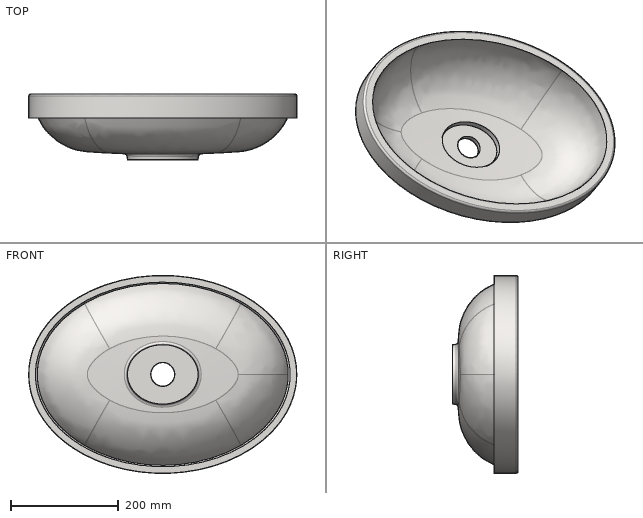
import cadquery as cq


RIM_SEMI_X = 250.0
RIM_SEMI_Z = 184.575
RIM_DEPTH = 45.0
RIM_ROUND = 4.0

GROOVE_INSET = 12.5
GROOVE_TAPER = 5.0
GROOVE_DEPTH = 4.0

BOWL_INSET = 7.0
BOWL_DEPTH = 112.9
BOWL_ROUND = 110.0
FLOOR_RADIUS = 2000.0
WALL = 10.5

TOTAL_DEPTH = 122.94
FOOT_SEMI_X = 65.8
FOOT_SEMI_Z = 55.3
FOOT_DRAFT = 0.15
FOOT_FILLET = 5.2
DRAIN_DIAMETER = 44.0

BOWL_SEMI_X = RIM_SEMI_X - BOWL_INSET
BOWL_SEMI_Z = RIM_SEMI_Z - BOWL_INSET
FOOT_TOP_DEPTH = BOWL_DEPTH - 2 * WALL


def oval(semi_x, semi_z, start_depth, end_depth):
    """Straight elliptical block between two depths."""
    start_plane = cq.Workplane("XZ", origin=(0, -start_depth, 0))
    return start_plane.ellipse(semi_x, semi_z).extrude(end_depth - start_depth)


def tapered_oval(semi_x, semi_z, widening, start_depth, end_depth):
    """Elliptical block of the given size at its lower end, wider by `widening` at its upper end."""
    return (
        cq.Workplane("XZ", origin=(0, -start_depth, 0))
        .ellipse(semi_x + widening, semi_z + widening)
        .workplane(offset=end_depth - start_depth)
        .ellipse(semi_x, semi_z)
        .loft()
    )


def bowl_body(inset):
    """Solid bowl shape with every surface moved inwards by `inset`."""
    depth = BOWL_DEPTH - inset
    floor_radius = FLOOR_RADIUS - inset
    floor = cq.Workplane("XY").sphere(floor_radius).translate((0, floor_radius - depth, 0))
    sides = oval(BOWL_SEMI_X - inset, BOWL_SEMI_Z - inset, 0, depth)
    return sides.intersect(floor).edges("<Y").fillet(BOWL_ROUND - inset)


def rim_body():
    """Rim with a rounded top edge and a shallow tapered recess in its underside."""
    rim = oval(RIM_SEMI_X, RIM_SEMI_Z, 0, RIM_DEPTH).faces(">Y").edges().fillet(RIM_ROUND)
    recess = tapered_oval(
        RIM_SEMI_X - GROOVE_INSET,
        RIM_SEMI_Z - GROOVE_INSET,
        -GROOVE_TAPER,
        RIM_DEPTH - GROOVE_DEPTH,
        RIM_DEPTH,
    )
    return rim.cut(recess)


def foot_body(inset, base_depth):
    """Drafted oval foot, moved inwards by `inset` and reaching down to `base_depth`."""
    widening = FOOT_DRAFT * (base_depth - FOOT_TOP_DEPTH)
    return tapered_oval(
        FOOT_SEMI_X - inset, FOOT_SEMI_Z - inset, widening, FOOT_TOP_DEPTH, base_depth
    )


def outer_body():
    """Bowl, foot and rim joined, with the foot blended into the bowl floor."""
    bowl = bowl_body(0)
    foot = foot_body(0, TOTAL_DEPTH)
    bowl_with_foot = bowl.union(foot)
    joint_zone = cq.selectors.BoxSelector(
        (-FOOT_SEMI_X, -BOWL_DEPTH, -FOOT_SEMI_Z),
        (FOOT_SEMI_X, -FOOT_TOP_DEPTH, FOOT_SEMI_Z),
    )
    joint = bowl_with_foot.edges(joint_zone)
    return joint.fillet(FOOT_FILLET).union(rim_body())


def cavity():
    """Basin interior: the inner bowl and the recess above the foot's base."""
    return bowl_body(WALL).union(foot_body(WALL, TOTAL_DEPTH - WALL))


drain = oval(DRAIN_DIAMETER / 2, DRAIN_DIAMETER / 2, 0, TOTAL_DEPTH)

result = outer_body().cut(cavity()).cut(drain)